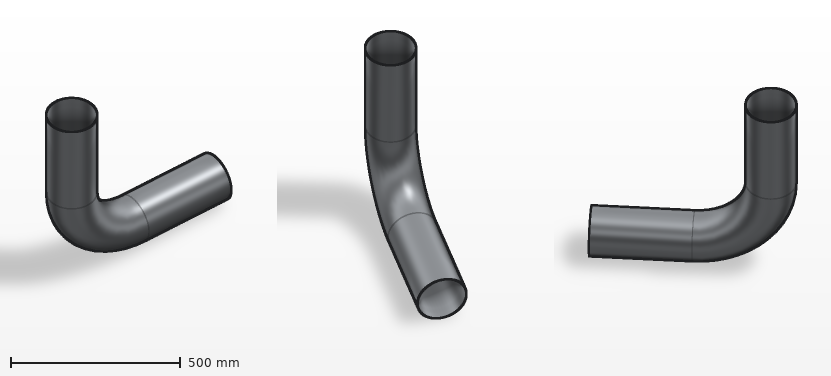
import cadquery as cq
import math

outer_diameter = 152.4
inner_diameter = 149.2
overall_length = 609.6

bend_radius = 1.5 * outer_diameter
leg_length = overall_length - bend_radius - outer_diameter / 2

leg_end = bend_radius + leg_length
arc_middle = bend_radius * (1 - math.cos(math.radians(45)))


def make_centreline():
    """Down the vertical leg, round the bend and out along +Y."""
    return (
        cq.Workplane("YZ")
        .moveTo(0, leg_end)
        .lineTo(0, bend_radius)
        .threePointArc((arc_middle, arc_middle), (bend_radius, 0))
        .lineTo(leg_end, 0)
    )


def make_tube():
    """Sweep the ring-shaped wall section from the top opening along the centreline."""
    wall_section = (
        cq.Workplane("XY", origin=(0, 0, leg_end))
        .circle(outer_diameter / 2)
        .circle(inner_diameter / 2)
    )
    return wall_section.sweep(make_centreline())


result = make_tube()